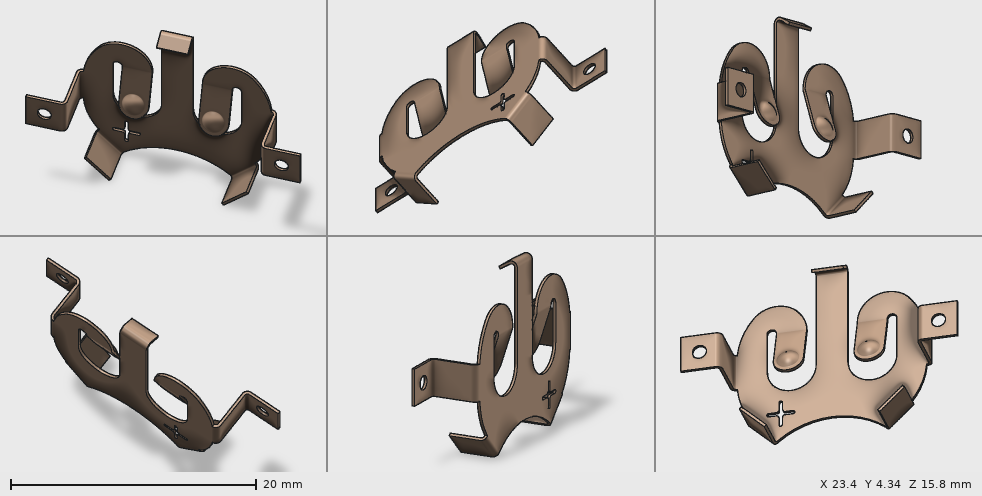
import cadquery as cq
import math

overall_width = 23.37
overall_depth = 4.34
sheet = 0.254
inner_bend = 0.254
outer_bend = inner_bend + sheet
mid_bend = inner_bend + sheet / 2

plate_half_width = 8.0
side_center_x = 2.03
side_center_z = 0.95
bottom_arc_radius = 7.32
bottom_arc_top = -5.335

leg_width = 3.175
leg_hole_x = 10.1
leg_hole_diameter = 1.19
side_radius = math.hypot(plate_half_width - side_center_x, leg_width / 2 - side_center_z)

tongue_x = 3.41
tongue_half_width = 1.27
tongue_fold_z = 3.175
tongue_angle = 18
tongue_tip_z = -0.03
lobe_radius = 2.54
tongue_inner_x = tongue_x - tongue_half_width
tongue_outer_x = tongue_x + tongue_half_width
lobe_x = tongue_inner_x + lobe_radius
lobe_z = side_center_z + math.sqrt((side_radius - lobe_radius) ** 2 - (lobe_x - side_center_x) ** 2)

slot_radius = 2.075
slot_arc_z = -0.28
slot_outer_x = tongue_x + slot_radius
relief_radius = (slot_outer_x - tongue_outer_x) / 2

dome_radius = 0.95
dome_height = 0.4
dome_fillet = 0.15

strip_half_width = tongue_x - slot_radius
hook_top = 8.49
hook_angle = 120
hook_length = 1.09
hook_start_z = hook_top - outer_bend

flap_width = 2.9
flap_depth = 3.34
flap_fold_distance = 8.13
flap_direction = -46.6

cross_x = -4.32
cross_z = -4.41
cross_length = 2.36
cross_arm = 0.3
cross_fillet = 0.22


def polar(radius, degrees):
    """Cartesian pair for a radius and an angle in degrees."""
    angle = math.radians(degrees)
    return radius * math.cos(angle), radius * math.sin(angle)


def bent_strip(start_x, start_z, direction, width, steps):
    """Strip leaving the plate edge along `direction` (degrees in XZ).

    `steps` holds ("straight", length) and ("bend", degrees); positive bends turn toward -Y.
    """
    along_x, along_z = polar(1, direction)
    outward = cq.Vector(along_x, 0, along_z)
    plane = cq.Plane((start_x, -sheet / 2, start_z), outward, outward.cross(cq.Vector(0, -1, 0)))

    def edge(side):
        """Segments of one face, as (arc midpoint or None, end point)."""
        x, y, heading = 0.0, 0.0, 0.0
        offset = side * sheet / 2
        segments = [(None, (x, y + offset))]
        for kind, amount in steps:
            if kind == "straight":
                dx, dy = polar(amount, heading)
                x, y = x + dx, y + dy
                nx, ny = polar(offset, heading + 90)
                segments.append((None, (x + nx, y + ny)))
                continue
            turn = math.copysign(1, amount)
            radial = heading - 90 * turn
            cx, cy = polar(-mid_bend, radial)
            cx, cy = x + cx, y + cy
            face_radius = mid_bend - turn * offset
            mx, my = polar(face_radius, radial + amount / 2)
            ex, ey = polar(face_radius, radial + amount)
            segments.append(((cx + mx, cy + my), (cx + ex, cy + ey)))
            x, y = polar(mid_bend, radial + amount)
            x, y = cx + x, cy + y
            heading += amount
        return segments

    front = edge(1)
    back = edge(-1)
    profile = cq.Workplane(plane).moveTo(*front[0][1])
    for middle, end in front[1:]:
        profile = profile.threePointArc(middle, end) if middle else profile.lineTo(*end)
    profile = profile.lineTo(*back[-1][1])
    for i in range(len(back) - 1, 0, -1):
        middle = back[i][0]
        end = back[i - 1][1]
        profile = profile.threePointArc(middle, end) if middle else profile.lineTo(*end)
    return profile.close().extrude(width / 2, both=True)


def flap_corner(side):
    """Plate corner at one end of a flap's fold line."""
    fold_x, fold_z = polar(flap_fold_distance, flap_direction)
    along_x, along_z = polar(side * flap_width / 2, flap_direction + 90)
    return fold_x + along_x, fold_z + along_z


def half_plate():
    """Right half of the flat plate."""
    inner_corner = flap_corner(-1)
    outer_corner = flap_corner(1)
    arc_x = inner_corner[0] / 2
    arc_z = bottom_arc_top - bottom_arc_radius + math.sqrt(bottom_arc_radius**2 - arc_x**2)
    tangent_angle = math.degrees(math.atan2(lobe_z - side_center_z, lobe_x - side_center_x))
    tangent_x, tangent_z = polar(lobe_radius, tangent_angle)
    lobe_mid = polar(lobe_radius, tangent_angle / 2 + 90)
    return (
        cq.Workplane("XZ")
        .moveTo(0, bottom_arc_top)
        .threePointArc((arc_x, arc_z), inner_corner)
        .lineTo(*outer_corner)
        .radiusArc((plate_half_width, -leg_width / 2), -side_radius)
        .lineTo(plate_half_width, leg_width / 2)
        .radiusArc((lobe_x + tangent_x, lobe_z + tangent_z), -side_radius)
        .threePointArc((lobe_x + lobe_mid[0], lobe_z + lobe_mid[1]), (tongue_inner_x, lobe_z))
        .lineTo(tongue_inner_x, tongue_fold_z)
        .lineTo(tongue_outer_x, tongue_fold_z)
        .threePointArc(
            (tongue_outer_x + relief_radius, tongue_fold_z + relief_radius),
            (slot_outer_x, tongue_fold_z),
        )
        .lineTo(slot_outer_x, slot_arc_z)
        .threePointArc((tongue_x, slot_arc_z - slot_radius), (strip_half_width, slot_arc_z))
        .lineTo(strip_half_width, hook_start_z)
        .lineTo(0, hook_start_z)
        .close()
        .extrude(sheet)
    )


def tongue():
    """Tilted spring tongue with a round end and a contact dome."""
    sine = math.sin(math.radians(tongue_angle))
    cosine = math.cos(math.radians(tongue_angle))
    length = (tongue_fold_z - tongue_tip_z - mid_bend * sine) / cosine
    steps = [("bend", tongue_angle), ("straight", length)]
    body = bent_strip(tongue_x, tongue_fold_z, -90, 2 * tongue_half_width, steps)
    tip_y = -sheet / 2 - mid_bend * (1 - cosine) - length * sine
    tip = cq.Workplane(cq.Plane((tongue_x, tip_y, tongue_tip_z), (1, 0, 0), (0, -cosine, sine)))
    round_end = tip.circle(tongue_half_width).extrude(sheet / 2, both=True)

    face = sheet / 2
    cap_radius = (dome_radius**2 + dome_height**2) / (2 * dome_height)
    cap_center = face + dome_height - cap_radius
    fillet_y = face + dome_fillet
    fillet_x = math.sqrt((cap_radius + dome_fillet) ** 2 - (fillet_y - cap_center) ** 2)
    cap_angle = math.degrees(math.atan2(fillet_y - cap_center, fillet_x))
    touch_x, touch_y = polar(cap_radius, cap_angle)
    cap_mid_x, cap_mid_y = polar(cap_radius, (cap_angle + 90) / 2)
    fillet_mid_x, fillet_mid_y = polar(dome_fillet, (cap_angle + 180 + 270) / 2)
    section = cq.Plane((tongue_x, tip_y, tongue_tip_z), (1, 0, 0), (0, -sine, -cosine))
    dome = (
        cq.Workplane(section)
        .moveTo(0, 0)
        .lineTo(fillet_x, 0)
        .lineTo(fillet_x, face)
        .threePointArc((fillet_x + fillet_mid_x, fillet_y + fillet_mid_y), (touch_x, cap_center + touch_y))
        .threePointArc((cap_mid_x, cap_center + cap_mid_y), (0, face + dome_height))
        .close()
        .revolve(360, (0, 0, 0), (0, 1, 0))
    )
    return body.union(round_end).union(dome)


def leg():
    """Mounting leg stepping forward from the plate to a drilled foot."""
    wall = overall_depth - sheet - 2 * mid_bend
    foot = overall_width / 2 - plate_half_width - 2 * mid_bend
    steps = [("bend", 90), ("straight", wall), ("bend", -90), ("straight", foot)]
    body = bent_strip(plate_half_width, 0, 0, leg_width, steps)
    hole = cq.Workplane("XZ").center(leg_hole_x, 0).circle(leg_hole_diameter / 2).extrude(overall_depth)
    return body.cut(hole)


def flap():
    """Lower flap folded square to the plate."""
    fold_x, fold_z = polar(flap_fold_distance, flap_direction)
    steps = [("bend", 90), ("straight", flap_depth - outer_bend)]
    return bent_strip(fold_x, fold_z, flap_direction, flap_width, steps)


def hook():
    """Hooked end of the centre strip."""
    steps = [("bend", hook_angle), ("straight", hook_length)]
    return bent_strip(0, hook_start_z, 90, 2 * strip_half_width, steps)


def polarity_cross():
    """Plus-shaped cutter with round arm ends and filleted inner corners."""
    center = cq.Workplane("XZ").center(cross_x, cross_z)
    upright = center.slot2D(cross_length, cross_arm, 90).extrude(sheet)
    level = center.slot2D(cross_length, cross_arm).extrude(sheet)
    reach = cross_arm / 2 + cross_fillet
    core = center.rect(2 * reach, 2 * reach).extrude(sheet)
    corners = center.rect(2 * reach, 2 * reach, forConstruction=True).vertices()
    core = core.cut(corners.circle(cross_fillet).extrude(sheet))
    return upright.union(level).union(core)


right_half = half_plate().union(leg()).union(flap()).union(tongue())
result = right_half.union(right_half.mirror("YZ")).union(hook()).cut(polarity_cross())